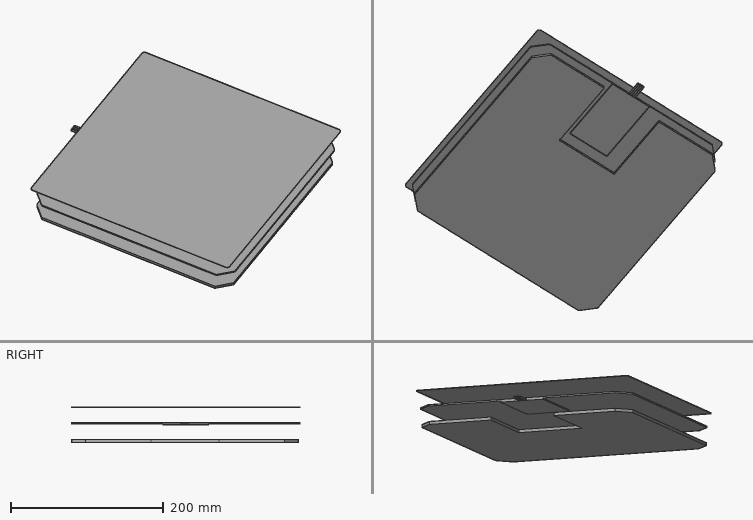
import cadquery as cq


plate_side = 300.0
plate_thickness = 0.81
plate_corner_radius = 4.0
plate_top = 46.81

mat_side = plate_side
mat_thickness = 2.0
mat_top = 26.5
patch_length = 95.0
patch_width = 60.0
patch_thickness = 1.6
lead_count = 4
lead_diameter = 2.6
lead_pitch = 2.7
lead_row_y = -1.6
lead_length = 20.0
lead_embedment = 1.0

insulation_side = 298.0
insulation_thickness = 4.0
notch_width = 89.0
notch_depth = patch_length + 5.0

corner_cut = 18.0

left_edge = -plate_side / 2
front_edge = -plate_side / 2
mat_bottom = mat_top - mat_thickness
patch_bottom = mat_bottom - patch_thickness


def cut_corner_sheet(side, thickness, bottom):
    """Square sheet with cut corners, set against the common left and front edges."""
    return (
        cq.Workplane("XY", origin=(left_edge + side / 2, front_edge + side / 2, bottom))
        .rect(side, side)
        .extrude(thickness)
        .edges("|Z")
        .chamfer(corner_cut)
    )


def left_edge_block(length, width, height, center_y, bottom):
    """Box that runs inwards from the common left edge."""
    return (
        cq.Workplane("XY", origin=(left_edge, center_y, bottom))
        .box(length, width, height, centered=(False, True, False))
    )


def make_insulation():
    sheet = cut_corner_sheet(insulation_side, insulation_thickness, 0)
    sheet_center_y = front_edge + insulation_side / 2
    notch = left_edge_block(notch_depth, notch_width, insulation_thickness, sheet_center_y, 0)
    return sheet.cut(notch)


def make_lead(center_y):
    """Round lead resting level with the underside of the patch, its end set into the mat."""
    center_z = patch_bottom + lead_diameter / 2
    return (
        cq.Workplane("YZ", origin=(left_edge - lead_length, center_y, center_z))
        .circle(lead_diameter / 2)
        .extrude(lead_length + lead_embedment)
    )


def make_heater_mat():
    mat = cut_corner_sheet(mat_side, mat_thickness, mat_bottom)
    mat = mat.union(left_edge_block(patch_length, patch_width, patch_thickness, 0, patch_bottom))
    for index in range(lead_count):
        center_y = lead_row_y + (index - (lead_count - 1) / 2) * lead_pitch
        mat = mat.union(make_lead(center_y))
    return mat


def make_plate():
    return (
        cq.Workplane("XY", origin=(0, 0, plate_top - plate_thickness))
        .rect(plate_side, plate_side)
        .extrude(plate_thickness)
        .edges("|Z")
        .fillet(plate_corner_radius)
    )


insulation = make_insulation()
heater_mat = make_heater_mat()
plate = make_plate()

result = cq.Compound.makeCompound([insulation.solids().val(), heater_mat.solids().val(), plate.solids().val()])